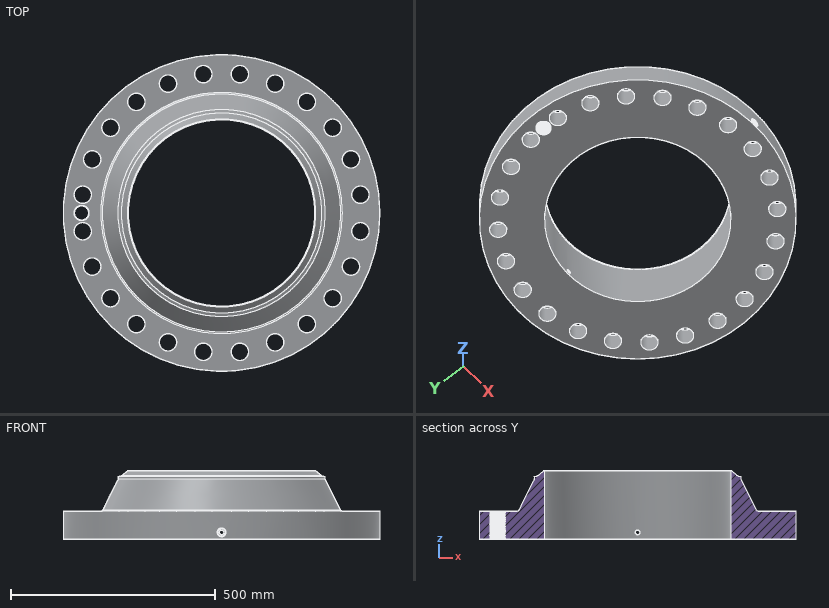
import cadquery as cq
flange_radius = 387.0
flange_thickness = 69.0
overall_height = 168.0
bore_radius = 228.0

foot_radius = 295.0
foot_height = 2.0
hub_base_radius = 291.0
neck_radius = 253.0
neck_bottom = 147.0
neck_top = 153.5
bevel_bottom = 156.0
bevel_outer_radius = 245.0
weld_face_radius = 230.0

bolt_count = 24
bolt_circle_radius = 342.5
bolt_hole_radius = 21.0

jack_circle_radius = 342.5
jack_major_radius = 18.5
jack_minor_radius = 17.0
jack_groove_count = 22

tap_height = 17.0
tap_major_radius = 11.0
tap_minor_radius = 9.0
tap_groove_count = 12
tap_thread_depth = 23.0
tap_bore_radius = 5.5


def make_body():
    """Revolved ring: plate, foot, tapered hub, neck and weld bevel."""
    foot_top = flange_thickness + foot_height
    half_section = (
        cq.Workplane("XZ")
        .moveTo(bore_radius, 0)
        .lineTo(flange_radius, 0)
        .lineTo(flange_radius, flange_thickness)
        .lineTo(foot_radius, flange_thickness)
        .lineTo(hub_base_radius, foot_top)
        .lineTo(neck_radius, neck_bottom)
        .lineTo(neck_radius, neck_top)
        .lineTo(bevel_outer_radius, bevel_bottom)
        .lineTo(weld_face_radius, overall_height)
        .lineTo(bore_radius, overall_height)
        .close()
    )
    return half_section.revolve(360, (0, 0, 0), (0, 1, 0))


def make_bolt_holes():
    """Cylinders for the ring of through bolt holes."""
    half_spacing = 180 / bolt_count
    return (
        cq.Workplane("XY")
        .polarArray(bolt_circle_radius, half_spacing, 360, bolt_count)
        .circle(bolt_hole_radius)
        .extrude(flange_thickness)
    )


def make_thread_cutter(major_radius, minor_radius, depth, groove_count):
    """Core cylinder on the Z axis with a stack of ring grooves in place of a helical thread."""
    pitch = depth / groove_count
    outline = cq.Workplane("XZ").moveTo(0, 0).lineTo(major_radius, 0)
    for groove in range(groove_count):
        outline = outline.lineTo(minor_radius, (groove + 0.5) * pitch)
        outline = outline.lineTo(major_radius, (groove + 1) * pitch)
    outline = outline.lineTo(0, depth).close()
    return outline.revolve(360, (0, 0, 0), (0, 1, 0))


def make_jack_hole():
    """Threaded hole through the full plate thickness."""
    thread = make_thread_cutter(jack_major_radius, jack_minor_radius, flange_thickness, jack_groove_count)
    return thread.translate((-jack_circle_radius, 0, 0))


def make_pressure_tap():
    """Radial hole from the -Y rim to the bore, with a wider threaded socket at the rim."""
    thread = make_thread_cutter(tap_major_radius, tap_minor_radius, tap_thread_depth, tap_groove_count)
    small_bore = cq.Workplane("XY").circle(tap_bore_radius).extrude(flange_radius)
    upright_tap = thread.union(small_bore)
    lying_tap = upright_tap.rotate((0, 0, 0), (1, 0, 0), -90)
    return lying_tap.translate((0, -flange_radius, tap_height))


result = make_body().cut(make_bolt_holes()).cut(make_jack_hole())
for tap_angle in (0, 180):
    tap = make_pressure_tap().rotate((0, 0, 0), (0, 0, 1), tap_angle)
    result = result.cut(tap)